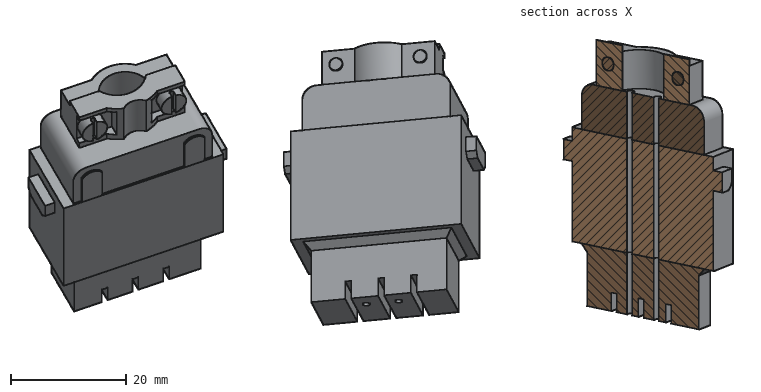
import cadquery as cq
import math

PLUG_TOP = 9.85
HOUSING_BOTTOM = 11.15
HOUSING_TOP = 31.95
HOOD_TOP = 40.45
CLAMP_LOW_TOP = 47.55
CLAMP_TOP = 48.7

HOUSING_X = 14.6
HOUSING_Y = 30.4
OVERALL_Y = 34.1
TAB_LENGTH = (OVERALL_Y - HOUSING_Y) / 2
FRONT_TAB_WIDTH = 7.05
BACK_TAB_WIDTH = 8.9
TAB_TOP = 29.45
TAB_HEIGHT = 3.75
TAB_CHAMFER = 1.0

PLUG_CENTER_X = -0.1
PLUG_X = 9.7
PLUG_Y = 24.1
FLARE_X = 12.15
FLARE_Y = 26.4
SLOT_WIDTH = 1.05
SLOT_HEIGHT = 3.35
SLOT_PITCH = 5.85
SLOT_CENTER_Y = -0.4

WIRE_HOLE_DIAMETER = 1.25
WIRE_HOLE_X = -2.0
WIRE_HOLE_Y = 2.85

HOOD_X = 13.95
HOOD_Y = 26.4
HOOD_ROUND = 2.6
RIB_WIDTH = 3.8
RIB_Y = 9.75
RIB_SHOULDER = 38.1
RIB_APEX = 39.15

CLAMP_LEFT = -5.4
CLAMP_RIGHT = 2.45
CLAMP_Y = 20.05
SPLIT_X = -1.65
LEFT_ARC_X = -0.5
LEFT_BORE_RADIUS = 4.65
LEFT_BULGE_RADIUS = 6.5
RIGHT_ARC_X = -4.15
RIGHT_BORE_RADIUS = 5.05
RIGHT_BULGE_RADIUS = 8.15
NOTCH_X = 5.85
NOTCH_RADIUS = 3.0

SCREW_Y = 7.5
SCREW_Z = 44.75
SHANK_DIAMETER = 2.35
SHANK_TIP_X = -5.75
HEAD_DIAMETER = 4.7
HEAD_SEAT_X = 1.25
HEAD_END_X = 3.4
DRIVE_SLOT_WIDTH = 0.75
DRIVE_SLOT_DEPTH = 1.05
POCKET_HEIGHT = 6.0
POCKET_INNER_Y = 3.3


def block(x_range, y_range, z_range):
    """Box between two limits along each axis."""
    sizes = [high - low for low, high in (x_range, y_range, z_range)]
    corner = (x_range[0], y_range[0], z_range[0])
    return cq.Workplane("XY").box(*sizes, centered=False).translate(corner)


def centered_block(x_size, y_size, bottom, top):
    """Box centred on the Z axis between two levels."""
    return block((-x_size / 2, x_size / 2), (-y_size / 2, y_size / 2), (bottom, top))


def upright_cylinder(x, radius, bottom, top):
    """Vertical cylinder with its axis on the XZ plane."""
    return cq.Workplane("XY", origin=(x, 0, bottom)).circle(radius).extrude(top - bottom)


def cylinder_along_x(start, end, y, z, diameter):
    """Cylinder whose axis runs along X."""
    return cq.Workplane("YZ", origin=(start, y, z)).circle(diameter / 2).extrude(end - start)


def wire_holes(bottom, top):
    """Cutter for the pair of wire holes between two levels."""
    return (
        cq.Workplane("XY", origin=(WIRE_HOLE_X, 0, bottom))
        .pushPoints([(0, -WIRE_HOLE_Y), (0, WIRE_HOLE_Y)])
        .circle(WIRE_HOLE_DIAMETER / 2)
        .extrude(top - bottom)
    )


def make_tab(width, side):
    """Snap tab with chamfered lower corners; side is -1 or +1 along Y."""
    half = HOUSING_Y / 2
    inner, outer = sorted((side * half, side * (half + TAB_LENGTH)))
    tab = block((-width / 2, width / 2), (inner, outer), (TAB_TOP - TAB_HEIGHT, TAB_TOP))
    return tab.edges("|Y and <Z").chamfer(TAB_CHAMFER)


def make_housing():
    body = centered_block(HOUSING_X, HOUSING_Y, HOUSING_BOTTOM, HOUSING_TOP)
    body = body.union(make_tab(FRONT_TAB_WIDTH, -1)).union(make_tab(BACK_TAB_WIDTH, 1))
    return body.cut(wire_holes(HOUSING_BOTTOM, HOUSING_TOP))


def make_plug():
    body = centered_block(PLUG_X, PLUG_Y, 0, PLUG_TOP)
    flare = (
        cq.Workplane("XY", origin=(0, 0, PLUG_TOP))
        .rect(PLUG_X, PLUG_Y)
        .workplane(offset=HOUSING_BOTTOM - PLUG_TOP)
        .rect(FLARE_X, FLARE_Y)
        .loft()
    )
    body = body.union(flare)
    for step in (-1, 0, 1):
        slot = centered_block(PLUG_X, SLOT_WIDTH, 0, SLOT_HEIGHT)
        body = body.cut(slot.translate((0, SLOT_CENTER_Y + step * SLOT_PITCH, 0)))
    body = body.translate((PLUG_CENTER_X, 0, 0))
    return body.cut(wire_holes(0, HOUSING_BOTTOM))


def make_rib(y):
    """Round-topped rib from the hood's +X face out to the housing's +X face."""
    half = RIB_WIDTH / 2
    return (
        cq.Workplane("YZ", origin=(HOOD_X / 2, y, 0))
        .moveTo(-half, HOUSING_TOP)
        .lineTo(half, HOUSING_TOP)
        .lineTo(half, RIB_SHOULDER)
        .threePointArc((0, RIB_APEX), (-half, RIB_SHOULDER))
        .close()
        .extrude((HOUSING_X - HOOD_X) / 2)
    )


def make_hood():
    body = centered_block(HOOD_X, HOOD_Y, HOUSING_TOP, HOOD_TOP)
    body = body.edges("|X and >Z").fillet(HOOD_ROUND)
    for y in (-RIB_Y, RIB_Y):
        body = body.union(make_rib(y))
    return body.cut(wire_holes(HOUSING_TOP, HOOD_TOP))


def make_clamp_side(arc_x, bulge_radius, bore_radius, face_x, top):
    """One side of the clamp: bar and bulge, bored, kept on its side of SPLIT_X."""
    near, far = sorted((SPLIT_X, face_x))
    half_y = CLAMP_Y / 2
    side = block((near, far), (-half_y, half_y), (HOOD_TOP, top))
    outward = math.copysign(1, face_x - SPLIT_X)
    bulge_end = arc_x + outward * bulge_radius
    keep_x = sorted((SPLIT_X, bulge_end))
    bulge = upright_cylinder(arc_x, bulge_radius, HOOD_TOP, top)
    bulge = bulge.intersect(block(keep_x, (-half_y, half_y), (HOOD_TOP, top)))
    return side.union(bulge).cut(upright_cylinder(arc_x, bore_radius, HOOD_TOP, top))


def make_head_pocket(side):
    """Cutter for a screw head pocket, open toward +X and the clamp's end face."""
    y_range = sorted((side * POCKET_INNER_Y, side * CLAMP_Y / 2))
    bulge_end = RIGHT_ARC_X + RIGHT_BULGE_RADIUS
    z_range = (SCREW_Z - POCKET_HEIGHT / 2, SCREW_Z + POCKET_HEIGHT / 2)
    return block((HEAD_SEAT_X, bulge_end), y_range, z_range)


def make_clamp():
    left = make_clamp_side(LEFT_ARC_X, LEFT_BULGE_RADIUS, LEFT_BORE_RADIUS, CLAMP_LEFT, CLAMP_LOW_TOP)
    right = make_clamp_side(RIGHT_ARC_X, RIGHT_BULGE_RADIUS, RIGHT_BORE_RADIUS, CLAMP_RIGHT, CLAMP_TOP)
    body = left.union(right)
    body = body.cut(upright_cylinder(NOTCH_X, NOTCH_RADIUS, HOOD_TOP, CLAMP_TOP))
    for side in (-1, 1):
        body = body.cut(make_head_pocket(side))
        hole = cylinder_along_x(CLAMP_LEFT, HEAD_SEAT_X, side * SCREW_Y, SCREW_Z, SHANK_DIAMETER)
        body = body.cut(hole)
    return body


def make_screw(y):
    """Clamp screw along X with an upright driver slot in its head."""
    shank = cylinder_along_x(SHANK_TIP_X, HEAD_SEAT_X, y, SCREW_Z, SHANK_DIAMETER)
    head = cylinder_along_x(HEAD_SEAT_X, HEAD_END_X, y, SCREW_Z, HEAD_DIAMETER)
    drive_slot = block(
        (HEAD_END_X - DRIVE_SLOT_DEPTH, HEAD_END_X),
        (y - DRIVE_SLOT_WIDTH / 2, y + DRIVE_SLOT_WIDTH / 2),
        (SCREW_Z - HEAD_DIAMETER / 2, SCREW_Z + HEAD_DIAMETER / 2),
    )
    return shank.union(head).cut(drive_slot)


housing = make_housing()
plug = make_plug()
hood = make_hood()
clamp = make_clamp()
screws = [make_screw(y) for y in (-SCREW_Y, SCREW_Y)]

bodies = [housing, plug, hood, clamp, *screws]

result = cq.Compound.makeCompound([body.solids().val() for body in bodies])